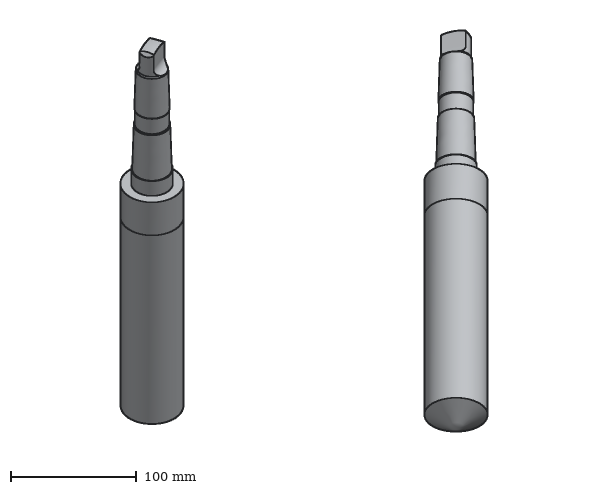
import cadquery as cq
import math

TOTAL_LENGTH = 374.0
BODY_DIAMETER = 50.5
POINT_ANGLE = 118.0
JOINT_Z = 203.0
SHOULDER_Z = 236.0

COLLAR_DIAMETER = 33.3
COLLAR_TOP_Z = 250.5
TAPER_LARGE_DIAMETER = 31.8
TAPER_SMALL_DIAMETER = 26.0
TAPER_TOP_Z = 349.7

RELIEF_DIAMETER = 27.5
RELIEF_BOTTOM_Z = 294.7
RELIEF_TOP_Z = 311.0
RELIEF_SLOPE_LENGTH = 0.7

TANG_DIAMETER = 24.3
TANG_THICKNESS = 12.5
TANG_ANGLE = 30.0
TANG_BASE_CHAMFER = 1.5
FLAT_BOTTOM_Z = 358.0
RUNOUT_RADIUS = 8.0

DOME_HEIGHT = 2.0
BEVEL_HEIGHT = 4.0

BODY_RADIUS = BODY_DIAMETER / 2
TANG_RADIUS = TANG_DIAMETER / 2
POINT_HEIGHT = BODY_RADIUS / math.tan(math.radians(POINT_ANGLE / 2))


def taper_radius(z):
    """Radius of the tapered shank at height z."""
    fraction = (z - COLLAR_TOP_Z) / (TAPER_TOP_Z - COLLAR_TOP_Z)
    return (TAPER_LARGE_DIAMETER + fraction * (TAPER_SMALL_DIAMETER - TAPER_LARGE_DIAMETER)) / 2


def revolve_profile(profile):
    """Turn a closed (radius, z) profile around the Z axis."""
    return profile.close().revolve(360, (0, 0, 0), (0, 1, 0))


def make_cutting_body():
    """Plain cylinder ending in a conical point."""
    return revolve_profile(
        cq.Workplane("XZ")
        .lineTo(BODY_RADIUS, POINT_HEIGHT)
        .lineTo(BODY_RADIUS, JOINT_Z)
        .lineTo(0, JOINT_Z)
    )


def make_turned_holder():
    """Shoulder, collar, relieved taper and round domed tang."""
    relief_radius = RELIEF_DIAMETER / 2
    sphere_radius = (TANG_RADIUS**2 + DOME_HEIGHT**2) / (2 * DOME_HEIGHT)
    dome_mid_radius = TANG_RADIUS / 2
    dome_mid_z = TOTAL_LENGTH - sphere_radius + math.sqrt(sphere_radius**2 - dome_mid_radius**2)
    return revolve_profile(
        cq.Workplane("XZ")
        .moveTo(0, JOINT_Z)
        .lineTo(BODY_RADIUS, JOINT_Z)
        .lineTo(BODY_RADIUS, SHOULDER_Z)
        .lineTo(COLLAR_DIAMETER / 2, SHOULDER_Z)
        .lineTo(COLLAR_DIAMETER / 2, COLLAR_TOP_Z)
        .lineTo(TAPER_LARGE_DIAMETER / 2, COLLAR_TOP_Z)
        .lineTo(taper_radius(RELIEF_BOTTOM_Z), RELIEF_BOTTOM_Z)
        .lineTo(relief_radius, RELIEF_BOTTOM_Z + RELIEF_SLOPE_LENGTH)
        .lineTo(relief_radius, RELIEF_TOP_Z - RELIEF_SLOPE_LENGTH)
        .lineTo(taper_radius(RELIEF_TOP_Z), RELIEF_TOP_Z)
        .lineTo(TAPER_SMALL_DIAMETER / 2, TAPER_TOP_Z)
        .lineTo(TANG_RADIUS, TAPER_TOP_Z + TANG_BASE_CHAMFER)
        .lineTo(TANG_RADIUS, TOTAL_LENGTH - DOME_HEIGHT)
        .threePointArc((dome_mid_radius, dome_mid_z), (0, TOTAL_LENGTH))
    )


def make_flat_cutter():
    """Cutter for one tang flat, with a quarter-round runout at its bottom."""
    half_thickness = TANG_THICKNESS / 2
    center_x = half_thickness + RUNOUT_RADIUS
    runout_bottom_z = FLAT_BOTTOM_Z - RUNOUT_RADIUS
    diagonal = RUNOUT_RADIUS * math.sqrt(0.5)
    return (
        cq.Workplane("XZ")
        .moveTo(half_thickness, TOTAL_LENGTH)
        .lineTo(half_thickness, FLAT_BOTTOM_Z)
        .threePointArc((center_x - diagonal, FLAT_BOTTOM_Z - diagonal), (center_x, runout_bottom_z))
        .lineTo(BODY_RADIUS, runout_bottom_z)
        .lineTo(BODY_RADIUS, TOTAL_LENGTH)
        .close()
        .extrude(BODY_RADIUS, both=True)
    )


def make_bevel_cutter():
    """Triangular cutter for the bevel at one end of the tang's width."""
    bevel_bottom_z = TOTAL_LENGTH - BEVEL_HEIGHT
    return (
        cq.Workplane("YZ")
        .moveTo(TANG_RADIUS, bevel_bottom_z)
        .lineTo(TANG_RADIUS, TOTAL_LENGTH)
        .lineTo(TANG_RADIUS - BEVEL_HEIGHT, TOTAL_LENGTH)
        .close()
        .extrude(TANG_RADIUS, both=True)
    )


def make_holder():
    """Turned holder with two opposite flats and two end bevels on its tang."""
    holder = make_turned_holder()
    for side_angle in (0, 180):
        for cutter in (make_flat_cutter(), make_bevel_cutter()):
            holder = holder.cut(cutter.rotate((0, 0, 0), (0, 0, 1), TANG_ANGLE + side_angle))
    return holder


cutting_body = make_cutting_body()
holder = make_holder()

result = cq.Compound.makeCompound([cutting_body.val(), holder.val()])